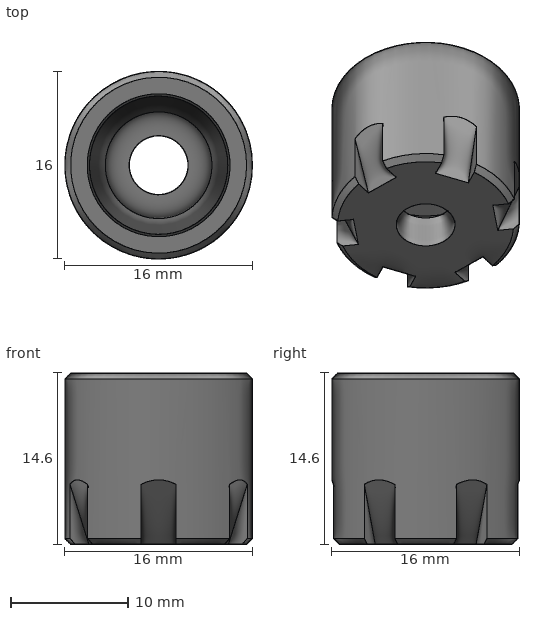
import cadquery as cq
import math

outer_diameter = 16.0
height = 14.6
edge_chamfer = 0.5

bore_diameter = 12.19
bore_depth = 3.75
relief_diameter = 13.3
relief_start_depth = 5.0
relief_floor_depth = 7.45
relief_fillet = 0.4
seat_diameter = 11.79
seat_depth = 8.35
seat_fillet = 0.2
cone_half_angle = 30.0
pocket_diameter = 9.1
pocket_depth = 0.5
pocket_fillet = 0.05
through_diameter = 5.0

slot_count = 6
slot_width = 3.0
slot_floor_radius = 6.0
slot_slope = 20.0
first_slot_angle = 30.0
cutter_clearance = 0.5


def make_body():
    body = cq.Workplane("XY").circle(outer_diameter / 2).extrude(height)
    return body.faces("<Z or >Z").edges().chamfer(edge_chamfer)


def round_circle(solid, radius, z, fillet):
    """Fillet the one horizontal circular edge with the given radius and height."""
    tolerance = 1e-4

    def is_wanted(edge):
        return abs(edge.radius() - radius) < tolerance and abs(edge.Center().z - z) < tolerance

    return solid.edges("%CIRCLE").filter(is_wanted).fillet(fillet)


def make_cavity():
    """Revolved cavity: bore, undercut relief, seat, cone, pocket and through hole."""
    bore_radius = bore_diameter / 2
    relief_radius = relief_diameter / 2
    seat_radius = seat_diameter / 2
    pocket_radius = pocket_diameter / 2
    through_radius = through_diameter / 2
    cone_height = (seat_radius - pocket_radius) / math.tan(math.radians(cone_half_angle))

    relief_floor_z = height - relief_floor_depth
    seat_end_z = height - seat_depth
    cone_end_z = seat_end_z - cone_height
    pocket_floor_z = cone_end_z - pocket_depth

    cavity = (
        cq.Workplane("XZ")
        .moveTo(0, height)
        .lineTo(bore_radius, height)
        .lineTo(bore_radius, height - bore_depth)
        .lineTo(relief_radius, height - relief_start_depth)
        .lineTo(relief_radius, relief_floor_z)
        .lineTo(seat_radius, relief_floor_z)
        .lineTo(seat_radius, seat_end_z)
        .lineTo(pocket_radius, cone_end_z)
        .lineTo(pocket_radius, pocket_floor_z)
        .lineTo(through_radius, pocket_floor_z)
        .lineTo(through_radius, 0)
        .lineTo(0, 0)
        .close()
        .revolve(360, (0, 0, 0), (0, 1, 0))
    )
    cavity = round_circle(cavity, relief_radius, relief_floor_z, relief_fillet)
    cavity = round_circle(cavity, seat_radius, seat_end_z, seat_fillet)
    return round_circle(cavity, pocket_radius, pocket_floor_z, pocket_fillet)


def make_slot(angle):
    """Wedge whose sloping floor runs out through the outer wall."""
    reach = outer_diameter / 2 + cutter_clearance
    wedge_height = (reach - slot_floor_radius) / math.tan(math.radians(slot_slope))
    wedge = (
        cq.Workplane("XZ")
        .moveTo(slot_floor_radius, 0)
        .lineTo(reach, 0)
        .lineTo(reach, wedge_height)
        .close()
        .extrude(slot_width / 2, both=True)
    )
    return wedge.rotate((0, 0, 0), (0, 0, 1), angle)


result = make_body().cut(make_cavity())
for index in range(slot_count):
    result = result.cut(make_slot(first_slot_angle + index * 360 / slot_count))